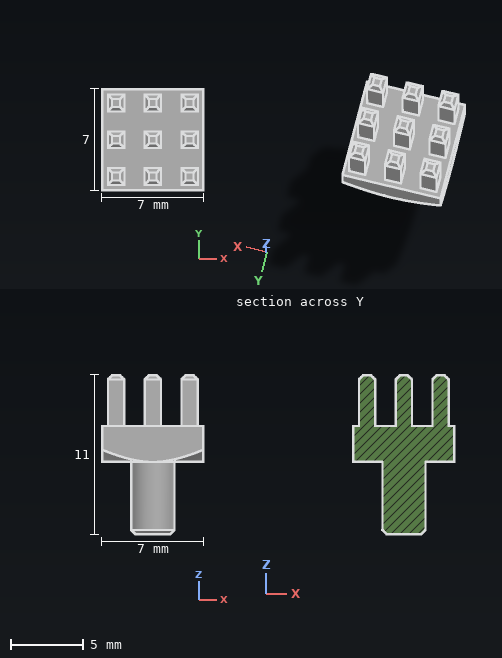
import cadquery as cq
import math

head_side = 7.0
head_height = 2.5
underside_angle = 30

stem_diameter = 3.0
stem_length = 5.0
stem_chamfer = 0.3

total_height = 11
pin_side = 1.14
pin_pitch = 2.54
pins_per_side = 3
pin_tip_height = 0.3
pin_tip_side = 0.53
pin_length = total_height - stem_length - head_height


def make_head():
    """Square block whose lower corners are cut back by a cone touching its sides."""
    block = cq.Workplane("XY").rect(head_side, head_side).extrude(head_height)
    inner_radius = head_side / 2
    outer_radius = head_side
    rise = (outer_radius - inner_radius) * math.tan(math.radians(underside_angle))
    envelope = (
        cq.Workplane("XZ")
        .moveTo(0, 0)
        .lineTo(inner_radius, 0)
        .lineTo(outer_radius, rise)
        .lineTo(outer_radius, rise + head_height)
        .lineTo(0, rise + head_height)
        .close()
        .revolve(360, (0, 0, 0), (0, 1, 0))
    )
    return block.intersect(envelope)


def make_stem():
    """Cylinder hanging from the head, chamfered at its free end."""
    stem = cq.Workplane("XY").circle(stem_diameter / 2).extrude(-stem_length)
    return stem.faces("<Z").chamfer(stem_chamfer)


def make_pin():
    """Square pin standing on the head, with a tapered tip."""
    shank_length = pin_length - pin_tip_height
    shank = cq.Workplane("XY", origin=(0, 0, head_height)).rect(pin_side, pin_side).extrude(shank_length)
    tip = (
        shank.faces(">Z")
        .workplane()
        .rect(pin_side, pin_side)
        .workplane(offset=pin_tip_height)
        .rect(pin_tip_side, pin_tip_side)
        .loft(combine=False)
    )
    return shank.union(tip)


result = make_head().union(make_stem())
pin = make_pin()
first_pin = -pin_pitch * (pins_per_side - 1) / 2
for column in range(pins_per_side):
    for row in range(pins_per_side):
        x = first_pin + column * pin_pitch
        y = first_pin + row * pin_pitch
        result = result.union(pin.translate((x, y, 0)))